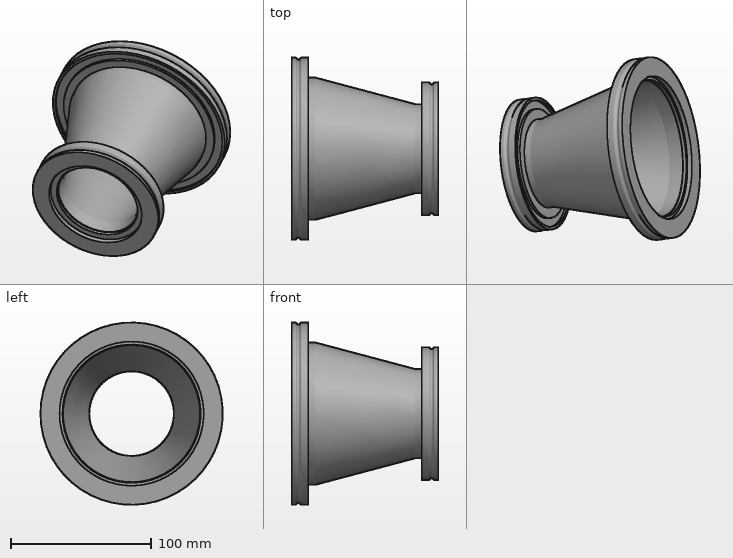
import cadquery as cq
import math

total_length = 104.6
flange_thickness = 12.0
tube_inset = 6.0
straight_end = 16.6

large_flange_radius = 65.0
large_tube_outer_radius = 50.8
large_tube_inner_radius = 48.8
large_lip_radius = 49.3
large_seat_radius = 51.4
large_clamp_inner_radius = 56.8
large_clamp_outer_radius = 63.0

small_flange_radius = 47.5
small_tube_outer_radius = 31.8
small_tube_inner_radius = 30.0
small_lip_radius = 30.5
small_seat_radius = 35.0
small_clamp_inner_radius = 39.3
small_clamp_outer_radius = 45.5

seat_depth = 3.5
clamp_groove_depth = 2.0
rim_groove_start = 2.3
rim_groove_width = 5.1
rim_shoulder_width = 1.4
rim_wall_angle = math.radians(60)
rim_shoulder_arc_radius = rim_shoulder_width / math.sin(rim_wall_angle)
rim_shoulder_drop = rim_shoulder_arc_radius * (1 - math.cos(rim_wall_angle))
rim_floor_half_width = rim_groove_width / 2 - rim_shoulder_width
rim_floor_sag = rim_floor_half_width * math.tan(rim_wall_angle / 2)


def revolve_about_x(profile):
    """Revolve an (x, radius) profile drawn in the XY plane around the X axis."""
    return profile.close().revolve(360, (0, 0, 0), (1, 0, 0))


def make_ring(x_start, length, inner_radius, outer_radius):
    """Plain ring whose axis is X."""
    return (
        cq.Workplane("YZ", origin=(x_start, 0, 0))
        .circle(outer_radius)
        .circle(inner_radius)
        .extrude(length)
    )


def make_rim_groove(flange_radius):
    """Cutter for the rim groove: a round floor that runs tangent into two rounded shoulders."""
    end = rim_groove_start + rim_groove_width
    middle = rim_groove_start + rim_groove_width / 2
    floor_edge_radius = flange_radius - rim_shoulder_drop
    half_angle = rim_wall_angle / 2
    arc_mid_offset = rim_shoulder_arc_radius * math.sin(half_angle)
    arc_mid_radius = flange_radius - rim_shoulder_arc_radius * (1 - math.cos(half_angle))
    profile = (
        cq.Workplane("XY")
        .moveTo(rim_groove_start, flange_radius)
        .threePointArc(
            (rim_groove_start + arc_mid_offset, arc_mid_radius),
            (rim_groove_start + rim_shoulder_width, floor_edge_radius),
        )
        .threePointArc(
            (middle, floor_edge_radius - rim_floor_sag),
            (end - rim_shoulder_width, floor_edge_radius),
        )
        .threePointArc(
            (end - arc_mid_offset, arc_mid_radius),
            (end, flange_radius),
        )
    )
    return revolve_about_x(profile)


def make_flange(flange_radius, tube_radius, lip_radius, seat_radius, clamp_inner, clamp_outer):
    """Flange with its sealing face at X = 0 and its back face toward +X."""
    flange = make_ring(0, flange_thickness, lip_radius, flange_radius)

    seat = cq.Workplane("YZ").circle(seat_radius).extrude(seat_depth)
    socket = (
        cq.Workplane("YZ", origin=(tube_inset, 0, 0))
        .circle(tube_radius)
        .extrude(flange_thickness - tube_inset)
    )

    clamp_groove = make_ring(
        flange_thickness - clamp_groove_depth, clamp_groove_depth, clamp_inner, clamp_outer
    )
    return flange.cut(seat).cut(socket).cut(clamp_groove).cut(make_rim_groove(flange_radius))


def make_reducer_tube():
    """Conical tube with a short straight collar in each flange."""
    tube_start = tube_inset
    cone_start = straight_end
    cone_end = total_length - straight_end
    tube_end = total_length - tube_inset
    profile = cq.Workplane("XY").polyline([
        (tube_start, large_tube_inner_radius),
        (tube_start, large_tube_outer_radius),
        (cone_start, large_tube_outer_radius),
        (cone_end, small_tube_outer_radius),
        (tube_end, small_tube_outer_radius),
        (tube_end, small_tube_inner_radius),
        (cone_end, small_tube_inner_radius),
        (cone_start, large_tube_inner_radius),
    ])
    return revolve_about_x(profile)


large_flange = make_flange(
    large_flange_radius,
    large_tube_outer_radius,
    large_lip_radius,
    large_seat_radius,
    large_clamp_inner_radius,
    large_clamp_outer_radius,
)

small_flange = make_flange(
    small_flange_radius,
    small_tube_outer_radius,
    small_lip_radius,
    small_seat_radius,
    small_clamp_inner_radius,
    small_clamp_outer_radius,
).rotate((0, 0, 0), (0, 0, 1), 180).translate((total_length, 0, 0))

reducer_tube = make_reducer_tube()

result = cq.Compound.makeCompound([large_flange.val(), reducer_tube.val(), small_flange.val()])